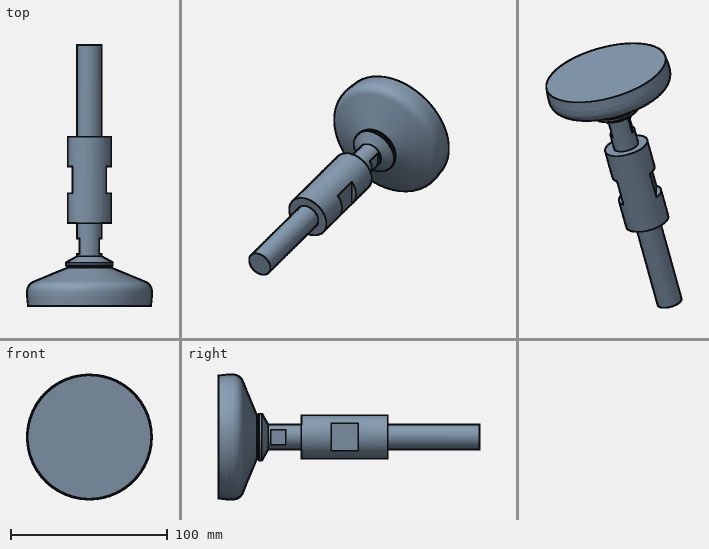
import cadquery as cq
import math

TOTAL_LENGTH = 166.5
ROD_DIAMETER = 16.0

FOOT_RADIUS = 40.0
SOLE_RADIUS = 39.3
RIM_START = 6.2
RIM_END = 9.2
SHOULDER_RADIUS = 7.0
FOOT_SLOPE_DEG = 22.5
NECK_RADIUS = 14.5

COLLAR_RADIUS = 15.0
COLLAR_START = 25.5
COLLAR_END = 27.6
COLLAR_BEVEL = 0.5
CONE_END = 31.8

ROD_FLATS_START = 33.3
ROD_FLATS_END = 43.0
ROD_FLATS_WIDTH = 12.8

SLEEVE_DIAMETER = 28.0
SLEEVE_START = 53.0
SLEEVE_LENGTH = 55.1
SLEEVE_FLATS_LENGTH = 17.0
SLEEVE_FLATS_WIDTH = 21.6


def cylinder(diameter, start, length):
    """Cylinder on the Y axis, from Y = start towards +Y."""
    return cq.Workplane("XZ", origin=(0, start, 0)).circle(diameter / 2).extrude(-length)


def cut_flats(body, diameter, width, start, end):
    """Cut two opposite flats, facing -X and +X, a given width apart."""
    depth = (diameter - width) / 2
    for side in (-1, 1):
        cutter = cq.Workplane("XY").box(2 * depth, end - start, diameter)
        body = body.cut(cutter.translate((side * diameter / 2, (start + end) / 2, 0)))
    return body


def make_foot():
    """Foot plate, collar, cone and rod, revolved as one piece."""
    rod_radius = ROD_DIAMETER / 2
    slope = math.radians(FOOT_SLOPE_DEG)

    def shoulder_point(angle):
        return (
            FOOT_RADIUS - SHOULDER_RADIUS * (1 - math.cos(angle)),
            RIM_END + SHOULDER_RADIUS * math.sin(angle),
        )

    slope_normal = math.pi / 2 - slope
    shoulder_end = shoulder_point(slope_normal)
    slope_end = shoulder_end[1] + (shoulder_end[0] - NECK_RADIUS) * math.tan(slope)

    profile = (
        cq.Workplane("XY")
        .moveTo(0, 0)
        .lineTo(SOLE_RADIUS, 0)
        .lineTo(FOOT_RADIUS, RIM_START)
        .lineTo(FOOT_RADIUS, RIM_END)
        .threePointArc(shoulder_point(slope_normal / 2), shoulder_end)
        .lineTo(NECK_RADIUS, slope_end)
        .lineTo(NECK_RADIUS, COLLAR_START)
        .lineTo(COLLAR_RADIUS, COLLAR_START + COLLAR_BEVEL)
        .lineTo(COLLAR_RADIUS, COLLAR_END)
        .lineTo(COLLAR_RADIUS - COLLAR_BEVEL, COLLAR_END + COLLAR_BEVEL)
        .lineTo(rod_radius, CONE_END)
        .lineTo(rod_radius, TOTAL_LENGTH)
        .lineTo(0, TOTAL_LENGTH)
        .close()
    )
    foot = profile.revolve(360, (0, 0, 0), (0, 1, 0))
    return cut_flats(foot, ROD_DIAMETER, ROD_FLATS_WIDTH, ROD_FLATS_START, ROD_FLATS_END)


def make_sleeve():
    """Sleeve bored to fit the rod, with wrench flats at mid-length."""
    sleeve = cylinder(SLEEVE_DIAMETER, SLEEVE_START, SLEEVE_LENGTH)
    sleeve = sleeve.cut(cylinder(ROD_DIAMETER, SLEEVE_START, SLEEVE_LENGTH))
    flats_start = SLEEVE_START + (SLEEVE_LENGTH - SLEEVE_FLATS_LENGTH) / 2
    flats_end = flats_start + SLEEVE_FLATS_LENGTH
    return cut_flats(sleeve, SLEEVE_DIAMETER, SLEEVE_FLATS_WIDTH, flats_start, flats_end)


foot = make_foot()
sleeve = make_sleeve()

result = cq.Compound.makeCompound([foot.val(), sleeve.val()])